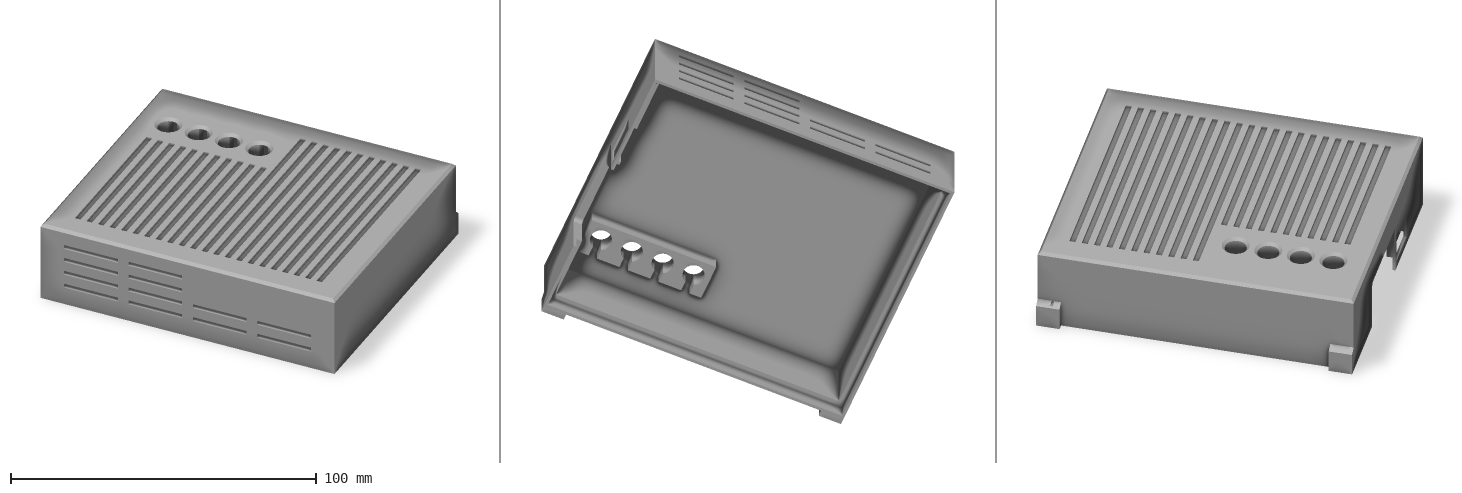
import cadquery as cq

width = 106.6
body_depth = 92.0
height = 28.6
wall = 3.0
edge_chamfer = 1.0

rim_wall = 1.0
rim_height = 5.1

groove_depth = 1.0
groove_margin = 8.5
groove_field = width - 2 * groove_margin

roof_groove_front_y = 8.3
roof_groove_count = 22
short_groove_count = roof_groove_count // 2
roof_groove_width = 2.0
roof_groove_pitch = (groove_field - roof_groove_width) / (roof_groove_count - 1)
long_groove_length = body_depth - groove_margin - roof_groove_front_y
short_groove_length = 54.4

front_rows_per_column = [4, 4, 2, 2]
front_column_gap = 3.8
front_columns = len(front_rows_per_column)
front_groove_length = (groove_field - (front_columns - 1) * front_column_gap) / front_columns
front_groove_height = 1.5
front_row_pitch = 5.0
front_first_row_z = 7.1

hole_count = 4
hole_diameter = 7.2
hole_pitch = 11.0
first_hole_x = -41.5
hole_y = 72.3
hole_points = [(first_hole_x + index * hole_pitch, hole_y) for index in range(hole_count)]
countersink_diameter = 9.2
countersink_angle = 90
countersink_depth = (countersink_diameter - hole_diameter) / 2
guide_wall = 2.0
guide_depth = 8.1

key_slot_width = 3.0
key_slot_length = 3.2

cutout_front_y = 36.5
cutout_width = 30.9
cutout_height = 17.7
cutout_corner_radius = 1.5

window_front_y = 22.0
window_width = 13.3
window_bottom_z = 3.0
window_top_z = 10.8
window_taper = 0.9

tab_width = 7.9
tab_reach = 2.0
tab_height = 9.6
tab_tip_height = 8.0

notch_x = 48.2
notch_width = 0.9
notch_reach = 1.4
notch_depth = 0.9


def box(x, y, z, size_x, size_y, size_z):
    """Box with its lowest-coordinate corner at (x, y, z)."""
    return cq.Workplane("XY").box(size_x, size_y, size_z, centered=False).translate((x, y, z))


def inner_box(inset, top_z):
    """Space inside the walls, from the open bottom up to top_z."""
    return box(inset - width / 2, inset, 0, width - 2 * inset, body_depth - 2 * inset, top_z)


def shell():
    outer = box(-width / 2, 0, 0, width, body_depth, height).faces(">Z").chamfer(edge_chamfer)
    return outer.cut(inner_box(wall, height - wall)).cut(inner_box(rim_wall, rim_height))


def tab(left_x):
    root_y = body_depth - rim_wall
    tip_y = body_depth + tab_reach
    profile = [(root_y, 0), (tip_y, 0), (tip_y, tab_tip_height), (body_depth, tab_height), (root_y, tab_height)]
    return cq.Workplane("YZ").polyline(profile).close().extrude(tab_width).translate((left_x, 0, 0))


def tab_notch():
    slope = (tab_height - tab_tip_height) / tab_reach
    end_y = body_depth + notch_reach
    floor_root_z = tab_height - notch_depth
    floor_end_z = floor_root_z - slope * notch_reach
    profile = [(body_depth, floor_root_z), (end_y, floor_end_z), (end_y, tab_height), (body_depth, tab_height)]
    notch = cq.Workplane("YZ").polyline(profile).close().extrude(notch_width)
    return notch.translate((notch_x - notch_width / 2, 0, 0))


def roof_grooves():
    grooves = cq.Workplane("XY")
    for index in range(roof_groove_count):
        length = short_groove_length if index < short_groove_count else long_groove_length
        left_x = -groove_field / 2 + index * roof_groove_pitch
        floor_z = height - groove_depth
        grooves.add(box(left_x, roof_groove_front_y, floor_z, roof_groove_width, length, groove_depth))
    return grooves.combine()


def front_grooves():
    grooves = cq.Workplane("XY")
    for column, rows in enumerate(front_rows_per_column):
        left_x = -groove_field / 2 + column * (front_groove_length + front_column_gap)
        for row in range(rows):
            bottom_z = front_first_row_z + row * front_row_pitch - front_groove_height / 2
            grooves.add(box(left_x, 0, bottom_z, front_groove_length, groove_depth, front_groove_height))
    return grooves.combine()


def cable_cutout():
    left_x = -width / 2
    cutout = box(left_x, cutout_front_y, 0, wall, cutout_width, cutout_height)
    return cutout.edges("|X and >Z").fillet(cutout_corner_radius)


def window():
    outer_x = -width / 2
    inner_x = outer_x + wall
    profile = [
        (outer_x, window_bottom_z),
        (inner_x, window_bottom_z + window_taper),
        (inner_x, window_top_z - window_taper),
        (outer_x, window_top_z),
    ]
    opening = cq.Workplane("XZ").polyline(profile).close().extrude(-window_width)
    return opening.translate((0, window_front_y, 0))


def guide_block():
    margin = hole_diameter / 2 + guide_wall
    left_x = first_hole_x - margin
    front_y = hole_y - margin
    length = (hole_count - 1) * hole_pitch + 2 * margin
    back_y = hole_y + hole_diameter / 2 + key_slot_length
    block_height = guide_depth - countersink_depth
    return box(left_x, front_y, height - guide_depth, length, back_y - front_y, block_height)


def key_slots():
    slots = cq.Workplane("XY")
    slot_height = guide_depth - countersink_depth
    for x, y in hole_points:
        left_x = x - key_slot_width / 2
        length = hole_diameter / 2 + key_slot_length
        slots.add(box(left_x, y, height - guide_depth, key_slot_width, length, slot_height))
    return slots.combine()


left_tab_x = -width / 2
right_tab_x = width / 2 - tab_width

result = shell().union(guide_block()).union(tab(left_tab_x)).union(tab(right_tab_x))
result = result.cut(tab_notch()).cut(roof_grooves()).cut(front_grooves())
result = result.cut(cable_cutout()).cut(window()).cut(key_slots())
result = (
    result.faces(">Z")
    .workplane(origin=(0, 0, height))
    .pushPoints(hole_points)
    .cskHole(hole_diameter, countersink_diameter, countersink_angle)
)